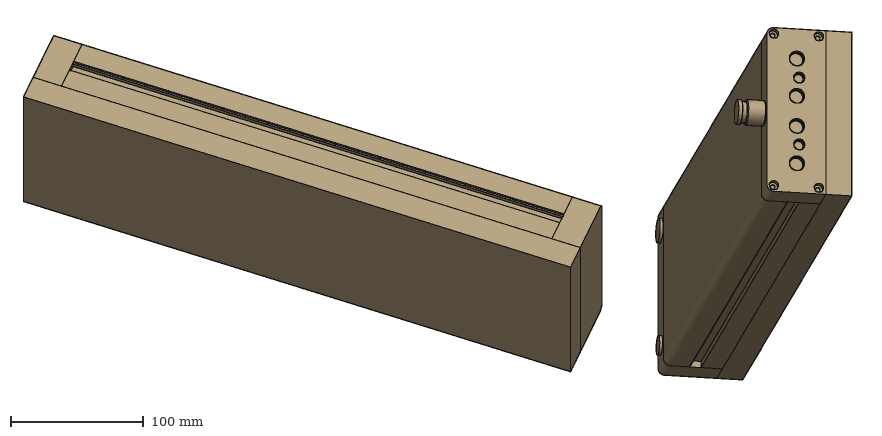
import cadquery as cq

length = 442.0
height = 130.0
pad_depth = 20.0
body_back = 65.0
cap_length = 23.0
back_round = 5.5
mid_z = height / 2

slot_front = 36.2
slot_back = 43.8
slot_depth = 5.0
ledge_width = 1.5
ledge_depth = 1.8

screw_recess_radius = 3.5
screw_recess_depth = 4.5
screw_step = 1.8
screw_inset_z = 5.0
screw_inset_y = 5.5

port_y = 42.0
port_radius = 5.7
port_depth = 2.5
port_step = 0.65
port_offsets_z = (12.0, 41.5)
small_port_y = 40.2
small_port_radius = 4.2
small_port_offset_z = 26.5

inner_hole_depth = 1.5

connector_x = 11.0
connector_end = 86.0
connector_body_radius = 9.7
connector_body_end = 79.5
connector_body_chamfer = 1.0
connector_neck_radius = 8.0
connector_rim_radius = 9.5
connector_rim_length = 3.0

plug_height = 2.0
plug_x = length - 12.0
plug_offset_z = 45.5
upper_plug_radius = 9.5
lower_plug_radius = 7.5


def block(x_length, depth, z_height, corner):
    """Box that grows toward +X, +Y and +Z from the given corner."""
    return cq.Workplane("XY").box(x_length, depth, z_height, centered=False).translate(corner)


def rear_block(x_start, x_length):
    """Block behind the pad with its two long back edges rounded."""
    rear = block(x_length, body_back - pad_depth, height, (x_start, pad_depth, 0))
    return rear.edges("|X and >Y").fillet(back_round)


def cylinder_along_y(x, z, radius, y_start, y_end):
    base = cq.Vector(x, y_start, z)
    return cq.Workplane(cq.Solid.makeCylinder(radius, y_end - y_start, base, cq.Vector(0, 1, 0)))


def stepped_pocket(y, z, mouth_radius, mouth_depth, floor_step):
    """Blind round hole into the left end face, narrowed by floor_step all round for its last stretch."""
    mouth = cq.Workplane("YZ", origin=(0, y, z)).circle(mouth_radius).extrude(mouth_depth)
    return mouth.faces(">X").workplane().circle(mouth_radius - floor_step).extrude(inner_hole_depth)


def make_pad():
    return block(length, pad_depth, height, (0, 0, 0))


def make_profile():
    profile_length = length - 2 * cap_length
    profile = rear_block(cap_length, profile_length)
    slot = block(profile_length, slot_back - slot_front, slot_depth, (cap_length, slot_front, 0))
    ledge = block(profile_length, ledge_width, ledge_depth, (cap_length, slot_back, 0))
    bottom_channel = slot.union(ledge)
    top_channel = bottom_channel.mirror("XY", (0, 0, mid_z))
    return profile.cut(bottom_channel).cut(top_channel)


def make_connector():
    """Turned connector: body chamfered at both ends, neck and end rim."""
    rim_start = connector_end - connector_rim_length
    body = cylinder_along_y(connector_x, mid_z, connector_body_radius, body_back, connector_body_end)
    body = body.faces("|Y").chamfer(connector_body_chamfer)
    neck = cylinder_along_y(connector_x, mid_z, connector_neck_radius, connector_body_end, rim_start)
    rim = cylinder_along_y(connector_x, mid_z, connector_rim_radius, rim_start, connector_end)
    return body.union(neck).union(rim)


def make_left_cap():
    cap = rear_block(0, cap_length)
    for z in (screw_inset_z, height - screw_inset_z):
        for y in (pad_depth + screw_inset_y, body_back - screw_inset_y):
            cap = cap.cut(stepped_pocket(y, z, screw_recess_radius, screw_recess_depth, screw_step))
    for side in (-1, 1):
        for offset in port_offsets_z:
            port_z = mid_z + side * offset
            cap = cap.cut(stepped_pocket(port_y, port_z, port_radius, port_depth, port_step))
        small_port_z = mid_z + side * small_port_offset_z
        cap = cap.cut(stepped_pocket(
            small_port_y, small_port_z, small_port_radius, port_depth, port_step))
    return cap.union(make_connector())


def make_right_cap():
    cap = rear_block(length - cap_length, cap_length)
    for radius, offset in ((upper_plug_radius, plug_offset_z), (lower_plug_radius, -plug_offset_z)):
        plug = cylinder_along_y(plug_x, mid_z + offset, radius, body_back, body_back + plug_height)
        cap = cap.union(plug)
    return cap


pad = make_pad()
profile = make_profile()
left_cap = make_left_cap()
right_cap = make_right_cap()

result = cq.Compound.makeCompound([pad.val(), profile.val(), left_cap.val(), right_cap.val()])